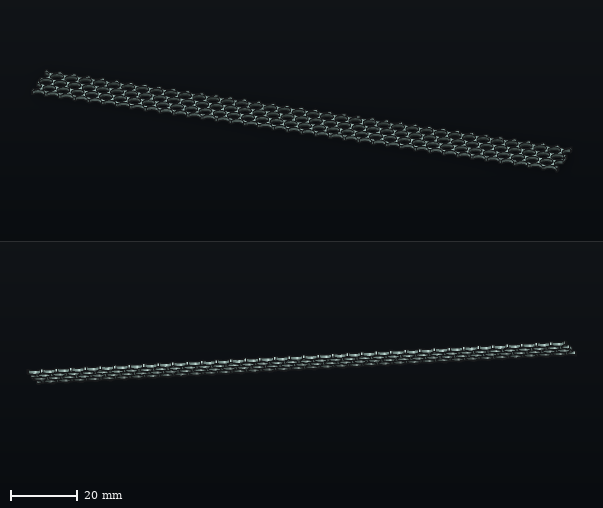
import cadquery as cq
import math

length = 166.6
width = 14.7
thickness = 1.2

hole_diameter = 3.8
pitch = 4.5
row_spacing = pitch * math.sqrt(3) / 2
outer_row = 2


def row_centres(row):
    """Hole centres of one row; odd rows are staggered by half a pitch and cut open at both ends."""
    even_row_holes = math.floor(length / pitch)
    holes_in_row = even_row_holes if row % 2 == 0 else even_row_holes + 1
    first_x = -(holes_in_row - 1) / 2 * pitch
    return [(first_x + i * pitch, row * row_spacing) for i in range(holes_in_row)]


def hole_cutters():
    """Cylinders through the sheet at every hole; the outermost rows notch the long edges."""
    centres = []
    for row in range(-outer_row, outer_row + 1):
        centres += row_centres(row)
    return (
        cq.Workplane("XY", origin=(0, 0, -thickness))
        .pushPoints(centres)
        .circle(hole_diameter / 2)
        .extrude(2 * thickness)
    )


sheet = cq.Workplane("XY").box(length, width, thickness)
result = sheet.cut(hole_cutters())